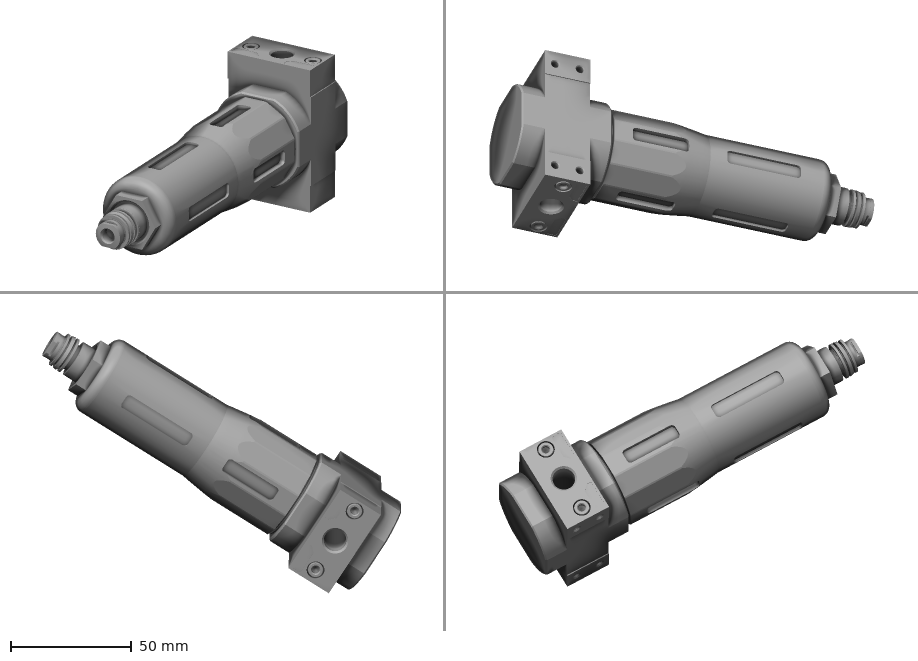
import cadquery as cq
import math

TOTAL_LENGTH = 161.0

HOUSING_SIZE = 40.0
HOUSING_ROUND_DIA = 43.0
HOUSING_CHAMFER = 0.6
BLOCK_DEPTH = 20.0
HOUSING_COLLAR_DIA = 36.7
HOUSING_COLLAR_END_AT = 40.4
HALF_HOUSING = HOUSING_SIZE / 2
PORT_AT = HOUSING_SIZE / 2

TOTAL_HEIGHT = 64.0
PLATE_THICK = (TOTAL_HEIGHT - HOUSING_SIZE) / 2
PLATE_SHIFT = -0.42
PLATE_TOP = TOTAL_HEIGHT / 2
PORT_DIA = 9.3
PORT_MOUTH_DIA = 11.0
SIDE_HOLE_DIA = 3.2
SIDE_HOLE_MOUTH_DIA = 4.0
SIDE_HOLE_DEPTH = 4.8
SIDE_HOLE_SPACING = 11.0
SIDE_HOLE_Z = 26.0
DRILL_POINT_ANGLE = 118.0
LABEL_OUTER = 19.0
LABEL_INNER = 6.6
LABEL_WIDTH = 4.3
LABEL_GAP = 1.0
LABEL_SLANT = 2.3
LABEL_CORNER = 0.8
LABEL_DEPTH = 0.2

SCREW_X = 15.0
HEAD_DIA = 6.3
HEAD_CHAMFER = 0.2
HEAD_HEIGHT = 4.0
SHANK_DIA = 4.0
SHANK_INTO_HOUSING = 6.5
SOCKET_DIA = 3.2
SOCKET_MOUTH_DIA = 4.0
SOCKET_DEPTH = 1.6
HEAD_RECESS_DIA = 7.4

GUARD_START_AT = 41.2
TAPER_START_AT = 68.6
TAPER_MIDDLE_AT = 76.2
TAPER_END_AT = 84.2
GUARD_END_AT = 138.8
GRIP_DIA = 38.8
TAPER_MIDDLE_DIA = 37.0
GUARD_DIA = 34.6
GUARD_END_HOLE_DIA = 26.2
GRIP_FLATS = 12
GRIP_ACROSS_FLATS = 37.7
WINDOW_COUNT = 4
WINDOW_WIDTH = 6.5
WINDOW_CORNER = 1.6
GRIP_WINDOW_AT = (49.3, 74.2)
GUARD_WINDOW_AT = (91.6, 124.1)

BOWL_UPPER_DIA = 33.5
BOWL_LOWER_DIA = 32.2
BOWL_SHOULDER_AT = 134.3
HEX_ACROSS_FLATS = 21.9
HEX_END_AT = 143.6
DRAIN_RECESS_DIA = 18.0
DRAIN_RECESS_MOUTH_DIA = 19.6
DRAIN_RECESS_DEPTH = 1.3

COLLAR_DIA = 16.0
COLLAR_END_AT = 149.1
COLLAR_LIP_DIA = 15.8
COLLAR_LIP_WIDTH = 0.6
CORE_DIA = 11.6
RIB_DIA = 15.8
FRONT_RIB_DIA = 15.1
RIBS = (
    (151.0, 1.0, RIB_DIA, RIB_DIA),
    (153.0, 1.5, RIB_DIA, FRONT_RIB_DIA),
    (155.4, 1.0, FRONT_RIB_DIA, FRONT_RIB_DIA),
)
RIB_FOOT_DIA = 12.2
RIB_FOOT_WIDTH = 0.3
GROOVE_AT = 158.3
GROOVE_ACROSS_FLATS = 9.0
TIP_AT = 159.2
TIP_DIA = 11.8
TIP_ACROSS_FLATS = 10.3
TIP_DOME = 0.3
BORE_DIA = 6.0
BORE_MOUTH_DIA = 7.0
BORE_MOUTH_DEPTH = 0.8
BORE_DEPTH = 4.8


def revolve_about_y(points):
    """Solid of revolution from (radius, distance-from-rear) corners."""
    outline = [(radius, -at) for radius, at in points]
    return cq.Workplane("XY").polyline(outline).close().revolve(360, (0, 0), (0, 1))


def prism_across_flats(sides, across_flats, start_at, end_at):
    """Regular prism along Y with flats facing +Z and -Z."""
    corner_dia = across_flats / math.cos(math.pi / sides)
    prism = cq.Workplane("XZ", origin=(0, -start_at, 0)).polygon(sides, corner_dia).extrude(end_at - start_at)
    turn = 180.0 / sides if sides % 4 == 0 else 0.0
    return prism.rotate((0, 0, 0), (0, 1, 0), turn)


def drilled_hole(dia, mouth_dia, depth):
    """Cutter going down from Z = 0: chamfered mouth, straight bore, drill point."""
    radius = dia / 2
    mouth_radius = mouth_dia / 2
    mouth_depth = mouth_radius - radius
    point_depth = radius / math.tan(math.radians(DRILL_POINT_ANGLE / 2))
    outline = [
        (0, 0),
        (mouth_radius, 0),
        (radius, -mouth_depth),
        (radius, -depth),
        (0, -depth - point_depth),
    ]
    return cq.Workplane("XZ").polyline(outline).close().revolve(360, (0, 0), (0, 1))


def make_housing():
    round_body = cq.Workplane("XZ").circle(HOUSING_ROUND_DIA / 2).extrude(HOUSING_SIZE)
    flats = cq.Workplane("XZ").rect(HOUSING_SIZE, HOUSING_SIZE).extrude(HOUSING_SIZE)
    housing = round_body.intersect(flats).faces("<Y or >Y").chamfer(HOUSING_CHAMFER)
    block = cq.Workplane("XY").box(HOUSING_SIZE, BLOCK_DEPTH, HOUSING_SIZE).translate((0, -PORT_AT, 0))
    housing = housing.union(block)
    collar = cq.Workplane("XZ").circle(HOUSING_COLLAR_DIA / 2).extrude(HOUSING_COLLAR_END_AT)
    housing = housing.union(collar)
    port = cq.Workplane("XY").circle(PORT_DIA / 2).extrude(HOUSING_SIZE).translate((0, -PORT_AT, -HALF_HOUSING))
    housing = housing.cut(port)
    for x in (-SCREW_X, SCREW_X):
        for end in (-1, 1):
            hole = cq.Workplane("XY").circle(SHANK_DIA / 2).extrude(-end * SHANK_INTO_HOUSING)
            housing = housing.cut(hole.translate((x, -PORT_AT, end * HALF_HOUSING)))
    return housing


def label_recess():
    """Recess with one slanted corner, lying at +X of the plate's middle."""
    far_y = -PORT_AT - BLOCK_DEPTH / 2 + LABEL_GAP
    near_y = far_y + LABEL_WIDTH
    outline = [
        (LABEL_OUTER, far_y),
        (LABEL_OUTER, near_y),
        (LABEL_INNER + LABEL_SLANT, near_y),
        (LABEL_INNER, near_y - LABEL_SLANT),
        (LABEL_INNER, far_y),
    ]
    recess = cq.Workplane("XY").polyline(outline).close().extrude(-LABEL_DEPTH)
    return recess.edges("|Z and >X").fillet(LABEL_CORNER)


def make_top_plate():
    plate = cq.Workplane("XY").box(HOUSING_SIZE, BLOCK_DEPTH, PLATE_THICK, centered=(True, True, False))
    plate = plate.translate((PLATE_SHIFT, -PORT_AT, HALF_HOUSING))

    port_chamfer = (PORT_MOUTH_DIA - PORT_DIA) / 2
    port = cq.Workplane("XY").circle(PORT_DIA / 2).extrude(-PLATE_THICK)
    mouth = cq.Workplane("XY").circle(PORT_MOUTH_DIA / 2).workplane(offset=-port_chamfer)
    mouth = mouth.circle(PORT_DIA / 2).loft()
    plate = plate.cut(port.union(mouth).translate((0, -PORT_AT, PLATE_TOP)))

    recess = cq.Workplane("XY").circle(HEAD_RECESS_DIA / 2).extrude(-HEAD_HEIGHT)
    shank_hole = cq.Workplane("XY").circle(SHANK_DIA / 2).extrude(-PLATE_THICK)
    screw_hole = recess.union(shank_hole)
    for x in (-SCREW_X, SCREW_X):
        plate = plate.cut(screw_hole.translate((x, -PORT_AT, PLATE_TOP)))

    side_hole = drilled_hole(SIDE_HOLE_DIA, SIDE_HOLE_MOUTH_DIA, SIDE_HOLE_DEPTH)
    side_hole = side_hole.rotate((0, 0, 0), (0, 1, 0), -90)
    side_x = PLATE_SHIFT - HALF_HOUSING
    for side in (-1, 1):
        y = -PORT_AT + side * SIDE_HOLE_SPACING / 2
        plate = plate.cut(side_hole.translate((side_x, y, SIDE_HOLE_Z)))

    for label in (label_recess(), label_recess().mirror("YZ")):
        plate = plate.cut(label.translate((PLATE_SHIFT, 0, PLATE_TOP)))
    return plate


def make_top_screw():
    """Screw with its axis on Z and its head top at Z = 0."""
    head = cq.Workplane("XY").circle(HEAD_DIA / 2).extrude(-HEAD_HEIGHT).faces(">Z").chamfer(HEAD_CHAMFER)
    shank = cq.Workplane("XY").circle(SHANK_DIA / 2).extrude(-(PLATE_THICK + SHANK_INTO_HOUSING))
    return head.union(shank).cut(drilled_hole(SOCKET_DIA, SOCKET_MOUTH_DIA, SOCKET_DEPTH))


def window_cutter(start_at, end_at):
    """Rounded slot reaching from the axis out through the +Z side."""
    length = end_at - start_at
    slot = cq.Workplane("XY").rect(WINDOW_WIDTH, length).extrude(GRIP_DIA)
    slot = slot.edges("|Z").fillet(WINDOW_CORNER)
    return slot.translate((0, -(start_at + end_at) / 2, 0))


def bowl_barrel(start_at):
    """Stepped round part of the bowl, which also shapes the guard's bore."""
    return revolve_about_y([
        (0, start_at),
        (BOWL_UPPER_DIA / 2, start_at),
        (BOWL_UPPER_DIA / 2, TAPER_END_AT),
        (BOWL_LOWER_DIA / 2, TAPER_END_AT),
        (BOWL_LOWER_DIA / 2, BOWL_SHOULDER_AT),
        (GUARD_END_HOLE_DIA / 2, BOWL_SHOULDER_AT),
        (GUARD_END_HOLE_DIA / 2, GUARD_END_AT),
        (0, GUARD_END_AT),
    ])


def make_guard():
    end_round = (GUARD_DIA - GUARD_END_HOLE_DIA) / 2
    corner_at = GUARD_END_AT - end_round
    diagonal = end_round * math.sqrt(0.5)
    body = (
        cq.Workplane("XY")
        .moveTo(0, -GUARD_START_AT)
        .lineTo(GRIP_DIA / 2, -GUARD_START_AT)
        .lineTo(GRIP_DIA / 2, -TAPER_START_AT)
        .threePointArc((TAPER_MIDDLE_DIA / 2, -TAPER_MIDDLE_AT), (GUARD_DIA / 2, -TAPER_END_AT))
        .lineTo(GUARD_DIA / 2, -corner_at)
        .threePointArc(
            (GUARD_END_HOLE_DIA / 2 + diagonal, -corner_at - diagonal),
            (GUARD_END_HOLE_DIA / 2, -GUARD_END_AT),
        )
        .lineTo(0, -GUARD_END_AT)
        .close()
        .revolve(360, (0, 0), (0, 1))
    )
    body = body.intersect(prism_across_flats(GRIP_FLATS, GRIP_ACROSS_FLATS, GUARD_START_AT, GUARD_END_AT))
    for start_at, end_at in (GRIP_WINDOW_AT, GUARD_WINDOW_AT):
        cutter = window_cutter(start_at, end_at)
        for index in range(WINDOW_COUNT):
            body = body.cut(cutter.rotate((0, 0, 0), (0, 1, 0), index * 360.0 / WINDOW_COUNT))
    return body.cut(bowl_barrel(GUARD_START_AT))


def make_bowl():
    bowl = bowl_barrel(HOUSING_COLLAR_END_AT)
    bowl = bowl.union(prism_across_flats(6, HEX_ACROSS_FLATS, GUARD_END_AT, HEX_END_AT))
    mouth_depth = (DRAIN_RECESS_MOUTH_DIA - DRAIN_RECESS_DIA) / 2
    recess = revolve_about_y([
        (0, HEX_END_AT),
        (DRAIN_RECESS_MOUTH_DIA / 2, HEX_END_AT),
        (DRAIN_RECESS_DIA / 2, HEX_END_AT - mouth_depth),
        (DRAIN_RECESS_DIA / 2, HEX_END_AT - DRAIN_RECESS_DEPTH),
        (0, HEX_END_AT - DRAIN_RECESS_DEPTH),
    ])
    return bowl.cut(recess)


def make_rib(rib_at, width, rear_dia, front_dia):
    """Ring of the drain fitting, standing on its wider low foot."""
    rib_end_at = rib_at + width
    return revolve_about_y([
        (0, rib_at - RIB_FOOT_WIDTH),
        (RIB_FOOT_DIA / 2, rib_at - RIB_FOOT_WIDTH),
        (RIB_FOOT_DIA / 2, rib_at),
        (rear_dia / 2, rib_at),
        (front_dia / 2, rib_end_at),
        (RIB_FOOT_DIA / 2, rib_end_at),
        (RIB_FOOT_DIA / 2, rib_end_at + RIB_FOOT_WIDTH),
        (0, rib_end_at + RIB_FOOT_WIDTH),
    ])


def make_fitting():
    collar_start_at = HEX_END_AT - DRAIN_RECESS_DEPTH
    lip_at = COLLAR_END_AT - COLLAR_LIP_WIDTH
    fitting = revolve_about_y([
        (0, collar_start_at),
        (COLLAR_DIA / 2, collar_start_at),
        (COLLAR_DIA / 2, lip_at),
        (COLLAR_LIP_DIA / 2, lip_at),
        (COLLAR_LIP_DIA / 2, COLLAR_END_AT),
        (CORE_DIA / 2, COLLAR_END_AT),
        (CORE_DIA / 2, TIP_AT),
        (TIP_DIA / 2, TIP_AT),
        (TIP_DIA / 2, TOTAL_LENGTH - TIP_DOME),
        (BORE_MOUTH_DIA / 2, TOTAL_LENGTH),
        (BORE_DIA / 2, TOTAL_LENGTH - BORE_MOUTH_DEPTH),
        (BORE_DIA / 2, TOTAL_LENGTH - BORE_DEPTH),
        (0, TOTAL_LENGTH - BORE_DEPTH),
    ])
    for rib_at, width, rear_dia, front_dia in RIBS:
        fitting = fitting.union(make_rib(rib_at, width, rear_dia, front_dia))
    for across_flats, start_at, end_at in (
        (GROOVE_ACROSS_FLATS, GROOVE_AT, TIP_AT),
        (TIP_ACROSS_FLATS, TIP_AT, TOTAL_LENGTH),
    ):
        flat = cq.Workplane("XY").box(TIP_DIA, end_at - start_at, TIP_DIA)
        for side in (-1, 1):
            z = side * (across_flats + TIP_DIA) / 2
            fitting = fitting.cut(flat.translate((0, -(start_at + end_at) / 2, z)))
    return fitting


housing = make_housing()
top_plate = make_top_plate()
bottom_plate = top_plate.mirror("XY")
guard = make_guard()
bowl = make_bowl()
fitting = make_fitting()

screws = []
for screw_x in (-SCREW_X, SCREW_X):
    top_screw = make_top_screw().translate((screw_x, -PORT_AT, PLATE_TOP))
    screws += [top_screw.val(), top_screw.mirror("XY").val()]

result = cq.Compound.makeCompound([
    housing.val(),
    top_plate.val(),
    bottom_plate.val(),
    *screws,
    guard.val(),
    bowl.val(),
    fitting.val(),
])